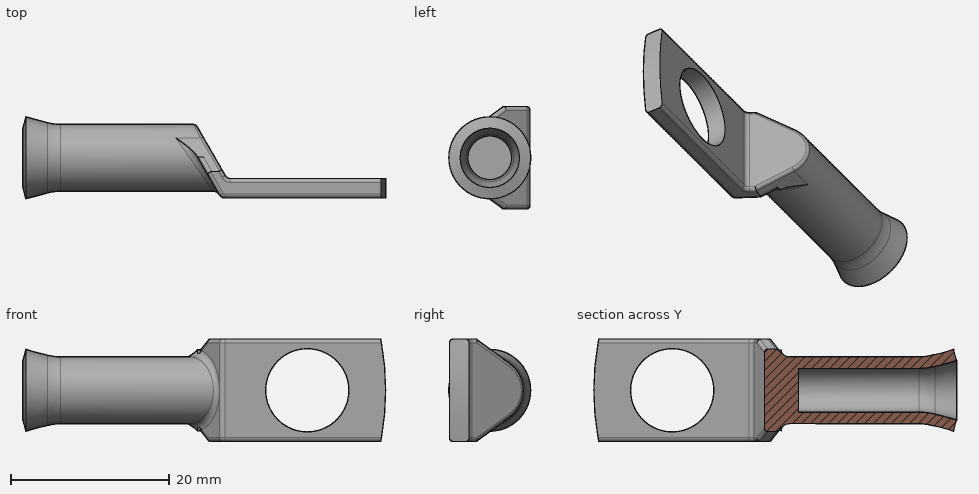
import cadquery as cq
import math

BARREL_RADIUS = 8.5 / 2
WALL = 1.5
BORE_DEPTH = 20.0
FLARE_RADIUS = 10.4 / 2
FLARE_ANGLE = math.radians(15)
FLARE_BLEND_RADIUS = 6.4

LENGTH = 45.93
PALM_WIDTH = 13.0
PALM_BOTTOM = -5.1
PALM_THICKNESS = 2.5
PALM_TOP = PALM_BOTTOM + PALM_THICKNESS
PALM_END_RADIUS = 33.8
HOLE_DIAMETER = 10.5
HOLE_X = 36.0

WEB_ANGLE = math.radians(60)
WEB_THICKNESS = 1.88
WEB_TOP_X = 21.9
SHOULDER_ANGLE = math.radians(54)

BEND_RADIUS = 0.75
EDGE_RADIUS = 0.5
ROOT_RADIUS = 0.9
SHOULDER_ROUND_END_Y = 0.1

REACH = 10.0
WIDE = 4 * REACH

FLARE_RISE = FLARE_RADIUS - BARREL_RADIUS - FLARE_BLEND_RADIUS * (1 - math.cos(FLARE_ANGLE))
MOUTH_LENGTH = (
    WALL * math.sin(FLARE_ANGLE)
    + FLARE_RISE / math.tan(FLARE_ANGLE)
    + FLARE_BLEND_RADIUS * math.sin(FLARE_ANGLE)
)

HALF_WIDTH = PALM_WIDTH / 2
TANGENT_Y = BARREL_RADIUS * math.cos(SHOULDER_ANGLE)
TANGENT_Z = BARREL_RADIUS * math.sin(SHOULDER_ANGLE)
SHOULDER_Y = (BARREL_RADIUS - HALF_WIDTH * math.sin(SHOULDER_ANGLE)) / math.cos(SHOULDER_ANGLE)


def rear_slope_x(y):
    """X of the web's rear face at height y."""
    return WEB_TOP_X + (BARREL_RADIUS - y) / math.tan(WEB_ANGLE)


def front_slope_x(y):
    """X of the web's front face, towards the mouth, at height y."""
    return rear_slope_x(y) - WEB_THICKNESS / math.sin(WEB_ANGLE)


def prism(points, width):
    """Polygon in XY extruded symmetrically along Z."""
    return cq.Workplane("XY").polyline(points).close().extrude(width / 2, both=True)


def bent_plate(width):
    """Web and palm as one sharp bent plate, running up past the barrel."""
    return prism(
        [
            (front_slope_x(PALM_BOTTOM), PALM_BOTTOM),
            (LENGTH, PALM_BOTTOM),
            (LENGTH, PALM_TOP),
            (rear_slope_x(PALM_TOP), PALM_TOP),
            (rear_slope_x(REACH), REACH),
            (front_slope_x(REACH), REACH),
        ],
        width,
    )


def round_bar(radius, end_x):
    """Cylinder on the X axis from the end of the mouth to end_x."""
    return (
        cq.Workplane("YZ", origin=(MOUTH_LENGTH, 0, 0))
        .circle(radius)
        .extrude(end_x - MOUTH_LENGTH)
    )


def shoulder_prism():
    """Palm-wide prism along X, narrowing upwards along two planes tangent to the barrel."""
    return (
        cq.Workplane("YZ", origin=(MOUTH_LENGTH, 0, 0))
        .moveTo(PALM_BOTTOM, -HALF_WIDTH)
        .lineTo(SHOULDER_Y, -HALF_WIDTH)
        .lineTo(TANGENT_Y, -TANGENT_Z)
        .lineTo(TANGENT_Y, TANGENT_Z)
        .lineTo(SHOULDER_Y, HALF_WIDTH)
        .lineTo(PALM_BOTTOM, HALF_WIDTH)
        .close()
        .extrude(LENGTH - MOUTH_LENGTH)
    )


def ahead_of_web():
    """Everything on the mouth side of the web's front face."""
    return prism(
        [
            (0, -REACH),
            (front_slope_x(-REACH), -REACH),
            (front_slope_x(REACH), REACH),
            (0, REACH),
        ],
        WIDE,
    )


def barrel_with_root():
    """Plain barrel up to the web's front face, with the hollow root around it."""
    front_side = ahead_of_web()
    barrel = round_bar(BARREL_RADIUS, LENGTH).intersect(front_side)
    on_wide_plate = bent_plate(WIDE).union(barrel)
    on_wide_plate = on_wide_plate.edges("%ELLIPSE").fillet(ROOT_RADIUS)
    root = on_wide_plate.intersect(shoulder_prism()).intersect(front_side)
    return root.union(barrel)


def is_bend(edge):
    """True for the two straight edges across the plate at the bend."""
    center = edge.Center()
    at_front = math.isclose(center.y, PALM_BOTTOM) and center.x < HOLE_X
    at_rear = math.isclose(center.y, PALM_TOP) and center.x < HOLE_X
    across = edge.BoundingBox().zlen > HALF_WIDTH
    return across and (at_front or at_rear)


def strip_edges(strip, rear):
    """Palm and shoulder edges of the rear or front face; tangent edges follow them."""
    chosen = []
    for edge in strip.edges("%LINE").vals():
        box = edge.BoundingBox()
        center = edge.Center()
        along_palm = box.xlen > PALM_WIDTH
        along_shoulder = min(box.ylen, box.zlen) > EDGE_RADIUS
        middle_x = (rear_slope_x(center.y) + front_slope_x(center.y)) / 2
        on_rear = center.y > (PALM_TOP + PALM_BOTTOM) / 2 if along_palm else center.x > middle_x
        if (along_palm or along_shoulder) and on_rear == rear:
            chosen.append(edge)
    return strip.newObject(chosen)


def web_and_palm():
    """Bent strip with rounded bends and edges, bowed end and bolt hole."""
    outline = shoulder_prism().union(round_bar(BARREL_RADIUS, LENGTH))
    strip = bent_plate(WIDE).intersect(outline)
    strip = strip.newObject([edge for edge in strip.edges().vals() if is_bend(edge)]).fillet(BEND_RADIUS)
    bow = cq.Workplane("XZ").center(LENGTH - PALM_END_RADIUS, 0).circle(PALM_END_RADIUS)
    strip = strip.intersect(bow.extrude(REACH, both=True))
    strip = strip_edges(strip, rear=True).fillet(EDGE_RADIUS)
    all_rounded = strip_edges(strip, rear=False).fillet(EDGE_RADIUS)
    above_round_end = (
        cq.Workplane("XY").box(LENGTH, REACH, WIDE, centered=(False, False, True))
        .translate((0, SHOULDER_ROUND_END_Y, 0))
    )
    body = all_rounded.cut(above_round_end).union(strip.intersect(above_round_end))
    hole = cq.Workplane("XZ").center(HOLE_X, 0).circle(HOLE_DIAMETER / 2).extrude(REACH, both=True)
    return body.cut(hole)


def flared_mouth():
    """Wall of the mouth: a flare cone blended by an arc into the barrel, rim square to the flare."""

    def rim_point(depth):
        """Rim point at a depth below the outer surface."""
        return (
            (WALL - depth) * math.sin(FLARE_ANGLE),
            FLARE_RADIUS - depth * math.cos(FLARE_ANGLE),
        )

    def blend_point(depth, angle):
        """Blend point at a depth below the outer surface, at an angle from the barrel end."""
        radius = FLARE_BLEND_RADIUS + depth
        return (
            MOUTH_LENGTH - radius * math.sin(angle),
            BARREL_RADIUS + FLARE_BLEND_RADIUS - radius * math.cos(angle),
        )

    return (
        cq.Workplane("XY")
        .moveTo(*rim_point(0))
        .lineTo(*blend_point(0, FLARE_ANGLE))
        .threePointArc(blend_point(0, FLARE_ANGLE / 2), blend_point(0, 0))
        .lineTo(*blend_point(WALL, 0))
        .threePointArc(blend_point(WALL, FLARE_ANGLE / 2), blend_point(WALL, FLARE_ANGLE))
        .lineTo(*rim_point(WALL))
        .close()
        .revolve(360, (0, 0), (1, 0))
    )


bore = round_bar(BARREL_RADIUS - WALL, BORE_DEPTH)
result = barrel_with_root().union(web_and_palm()).cut(bore).union(flared_mouth())